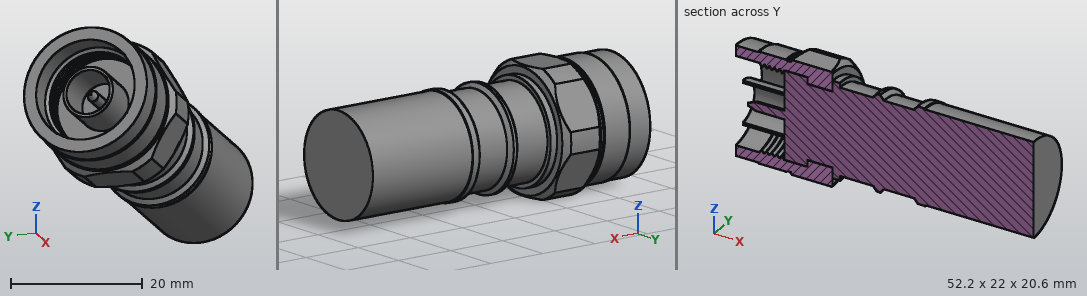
import cadquery as cq
import math

total_length = 52.19
thread_diameter = 15.88
neck_diameter = 13.5
shoulder_x = 12.5
nut_end_x = 17.0

sleeve_diameter = 19.81
band_diameter = 20.1
band_start_x = 3.9
band_end_x = 9.0
band_chamfer_length = 0.2

hex_across_flats = 20.57
hex_corner_diameter = 22.0
hex_start_x = 9.57
hex_chamfer_length = 0.98
hex_base_diameter = 20.1

thread_start_x = 4.1
thread_crest_diameter = 14.7
thread_pitch = 0.88
thread_turns = 5
thread_end_x = thread_start_x + thread_turns * thread_pitch

floor_x = thread_end_x
collar_diameter = 17.5
collar_end_x = 18.24
tube_diameter = 15.89
ring_diameter = 17.47
ring_chamfer_length = 0.67
ring_start_x = 24.0
ring_end_x = 25.96
rear_ring_diameter = 17.5
rear_ring_start_x = 31.2
rear_ring_end_x = 33.12
cable_sleeve_diameter = 17.19

contact_outer_diameter = 8.0
contact_inner_diameter = 6.98
contact_front_x = 1.25
pin_diameter = 1.65
pin_tip_diameter = 0.5
pin_front_x = 2.1
pin_taper_length = 1.4


def revolve_about_x(stations):
    """Solid of revolution about X from (x, diameter) stations, closed down to the axis."""
    first_x = stations[0][0]
    last_x = stations[-1][0]
    outline = [(x, diameter / 2) for x, diameter in stations]
    profile = cq.Workplane("XY").polyline([(first_x, 0)] + outline + [(last_x, 0)]).close()
    return profile.revolve(360, (0, 0, 0), (1, 0, 0))


def cylinder_along_x(start_x, end_x, diameter):
    return revolve_about_x([(start_x, diameter), (end_x, diameter)])


def make_nut_hex():
    """Hexagon with flats facing +Z and -Z, its corners rounded and chamfered at both ends."""
    corner_to_corner = hex_across_flats / math.cos(math.radians(30))
    hexagon = (
        cq.Workplane("YZ", origin=(hex_start_x, 0, 0))
        .polygon(6, corner_to_corner)
        .extrude(nut_end_x - hex_start_x)
    )
    envelope = revolve_about_x([
        (hex_start_x, hex_base_diameter),
        (hex_start_x + hex_chamfer_length, hex_corner_diameter),
        (nut_end_x - hex_chamfer_length, hex_corner_diameter),
        (nut_end_x, hex_base_diameter),
    ])
    return hexagon.intersect(envelope)


def make_nut_sleeve():
    """Round front of the nut with a slightly raised, chamfered band."""
    return revolve_about_x([
        (0, sleeve_diameter),
        (band_start_x, sleeve_diameter),
        (band_start_x + band_chamfer_length, band_diameter),
        (band_end_x - band_chamfer_length, band_diameter),
        (band_end_x, sleeve_diameter),
        (shoulder_x, sleeve_diameter),
    ])


def make_nut_bore():
    """Stepped bore with ring-shaped V threads, flange recess and rear neck hole."""
    stations = [(0, thread_diameter), (thread_start_x, thread_diameter)]
    for turn in range(thread_turns):
        root_x = thread_start_x + turn * thread_pitch
        stations.append((root_x + thread_pitch / 2, thread_crest_diameter))
        stations.append((root_x + thread_pitch, thread_diameter))
    stations += [
        (shoulder_x, thread_diameter),
        (shoulder_x, neck_diameter),
        (nut_end_x, neck_diameter),
    ]
    return revolve_about_x(stations)


def make_coupling_nut():
    return make_nut_sleeve().union(make_nut_hex()).cut(make_nut_bore())


def make_contact_sleeve():
    tube = cylinder_along_x(contact_front_x, floor_x, contact_outer_diameter)
    return tube.cut(cylinder_along_x(contact_front_x, floor_x, contact_inner_diameter))


def make_pin():
    return revolve_about_x([
        (pin_front_x, pin_tip_diameter),
        (pin_front_x + pin_taper_length, pin_diameter),
        (floor_x, pin_diameter),
    ])


def make_connector_body():
    """Flange, neck, collar, ringed tube and cable sleeve, with the contact sleeve and pin."""
    shell = revolve_about_x([
        (floor_x, thread_diameter),
        (shoulder_x, thread_diameter),
        (shoulder_x, neck_diameter),
        (nut_end_x, neck_diameter),
        (nut_end_x, collar_diameter),
        (collar_end_x, collar_diameter),
        (collar_end_x, tube_diameter),
        (ring_start_x, tube_diameter),
        (ring_start_x + ring_chamfer_length, ring_diameter),
        (ring_end_x - ring_chamfer_length, ring_diameter),
        (ring_end_x, tube_diameter),
        (rear_ring_start_x, tube_diameter),
        (rear_ring_start_x + ring_chamfer_length, rear_ring_diameter),
        (rear_ring_end_x, rear_ring_diameter),
        (rear_ring_end_x, cable_sleeve_diameter),
        (total_length, cable_sleeve_diameter),
    ])
    return shell.union(make_contact_sleeve()).union(make_pin())


coupling_nut = make_coupling_nut()
connector_body = make_connector_body()

result = cq.Compound.makeCompound([coupling_nut.val(), connector_body.val()])